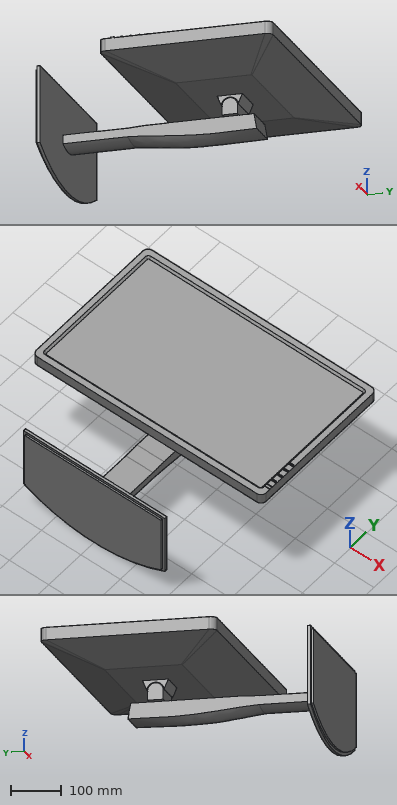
import cadquery as cq
import math


DISPLAY_WIDTH = 584.0
DISPLAY_HEIGHT = 357.0
DISPLAY_TOP_Y = 526.0
RIM_DEPTH = 25.5
DISPLAY_CORNER_RADIUS = 13.0
BACK_DEPTH = 24.5
BACK_WIDTH = 269.0
BACK_HEIGHT = 158.0
BACK_CENTER_Y = 355.0
BACK_CORNER_RADIUS = 2.0

BEZEL_SIDE = 13.5
BEZEL_END = 14.0
SCREEN_DEPTH = 4.5
SCREEN_WALL_ANGLE = 45.0
SCREEN_CORNER_RADIUS = 7.5

BUTTON_HEIGHT = 2.0
BUTTON_PITCH = 18.0
POWER_BUTTON_Y = 197.0
POWER_BUTTON_LENGTH = 7.0
KEY_COUNT = 4
KEY_LENGTH = 3.5
KEY_PAD_WIDTH = 4.0
KEY_PAD_SPACING = 6.0

JOINT_Y = 356.0
JOINT_WIDTH = 69.0
BRACKET_TOP_LENGTH = 52.5
BRACKET_TIP_LENGTH = 34.5
BRACKET_DEPTH = 20.5
SOCKET_CLEARANCE = 1.0
SOCKET_ROOF = 4.5
PIVOT_LENGTH = 31.5
PIVOT_DOME_RADIUS = 16.5
PIVOT_BOTTOM_Z = -90.5

ARM_WIDTH = 69.0
ARM_TOP_Z = -94.5
ARM_LOW_TOP_Z = -96.5
ARM_BEND_Y = 179.5
ARM_NECK_Y = 145.0
ARM_END_TOP_Y = 406.0
ARM_END_BOTTOM_Y = 412.0
ARM_CLEAR_Z = -146.0
ARM_SHOULDER_SECTIONS = [
    (ARM_END_BOTTOM_Y, -126.0, -127.0),
    (327.0, -127.5, -135.0),
    (269.0, -125.0, -135.5),
    (210.5, -120.0, -131.0),
    (ARM_NECK_Y, -114.5, -121.0),
]

BASE_WIDTH = 360.0
BASE_BOTTOM_Z = -207.0
BASE_CORNER_Z = -160.5
BASE_PLATE_THICKNESS = 6.5
FOOT_THICKNESS = 4.0
FOOT_INSET = 6.5
BASE_TOP_Y = FOOT_THICKNESS + BASE_PLATE_THICKNESS
ARM_NECK_SECTIONS = [
    ARM_SHOULDER_SECTIONS[-1],
    (BASE_TOP_Y, -114.5, -122.0),
]

DISPLAY_CENTER_Y = DISPLAY_TOP_Y - DISPLAY_HEIGHT / 2
BACK_Z = -(RIM_DEPTH + BACK_DEPTH)
DOME_CENTER_Z = BACK_Z - SOCKET_ROOF - SOCKET_CLEARANCE - PIVOT_DOME_RADIUS


def rounded_rectangle(width, height, radius):
    return cq.Sketch().rect(width, height).vertices().fillet(radius)


def display_plane(z):
    """Workplane parallel to XY, centered on the display."""
    return cq.Workplane("XY", origin=(0, DISPLAY_CENTER_Y, z))


def extrude_across(side_profile, width):
    """Extrude a YZ outline symmetrically about X = 0."""
    return side_profile.extrude(width / 2, both=True)


def make_housing():
    """Flat rim with a back that tapers to a smaller rectangle."""
    rim_outline = rounded_rectangle(DISPLAY_WIDTH, DISPLAY_HEIGHT, DISPLAY_CORNER_RADIUS)
    rim = display_plane(0).placeSketch(rim_outline).extrude(-RIM_DEPTH)
    back_outline = rounded_rectangle(BACK_WIDTH, BACK_HEIGHT, BACK_CORNER_RADIUS)
    back_shift = cq.Location(cq.Vector(0, BACK_CENTER_Y - DISPLAY_CENTER_Y, -BACK_DEPTH))
    back = (
        display_plane(-RIM_DEPTH)
        .placeSketch(rim_outline, back_outline.moved(back_shift))
        .loft(ruled=True)
    )
    return rim.union(back)


def make_screen_recess():
    """Shallow pocket whose walls slope inward to the screen."""
    opening = rounded_rectangle(
        DISPLAY_WIDTH - 2 * BEZEL_SIDE,
        DISPLAY_HEIGHT - 2 * BEZEL_END,
        SCREEN_CORNER_RADIUS,
    )
    return display_plane(0).placeSketch(opening).extrude(-SCREEN_DEPTH, taper=SCREEN_WALL_ANGLE)


def make_buttons():
    """A power button across the bezel and a row of keys, each a pair of small pads."""
    bezel_center_x = (DISPLAY_WIDTH - BEZEL_SIDE) / 2
    buttons = cq.Workplane("XY").center(bezel_center_x, POWER_BUTTON_Y)
    buttons = buttons.rect(BEZEL_SIDE, POWER_BUTTON_LENGTH).extrude(BUTTON_HEIGHT)
    for key in range(1, KEY_COUNT + 1):
        key_y = POWER_BUTTON_Y + key * BUTTON_PITCH
        pads = (
            cq.Workplane("XY", origin=(bezel_center_x, key_y, 0))
            .rarray(KEY_PAD_SPACING, 6, 2, 1)
            .rect(KEY_PAD_WIDTH, KEY_LENGTH)
            .extrude(BUTTON_HEIGHT)
        )
        buttons = buttons.union(pads)
    return buttons


def make_bracket():
    """Wedge under the back of the display, hollowed by the round socket of the tilt joint."""
    tip_z = BACK_Z - BRACKET_DEPTH
    wedge = cq.Workplane("YZ").polyline([
        (JOINT_Y - BRACKET_TOP_LENGTH / 2, BACK_Z),
        (JOINT_Y + BRACKET_TOP_LENGTH / 2, BACK_Z),
        (JOINT_Y + BRACKET_TIP_LENGTH / 2, tip_z),
        (JOINT_Y - BRACKET_TIP_LENGTH / 2, tip_z),
    ]).close()
    socket = cq.Workplane("YZ", origin=(0, JOINT_Y, DOME_CENTER_Z)).circle(
        PIVOT_DOME_RADIUS + SOCKET_CLEARANCE
    )
    return extrude_across(wedge, JOINT_WIDTH).cut(extrude_across(socket, JOINT_WIDTH))


def make_display():
    housing = make_housing().cut(make_screen_recess())
    return housing.union(make_buttons()).union(make_bracket())


def make_pivot():
    """Block with a domed top that sits in the bracket's socket."""
    half_length = PIVOT_LENGTH / 2
    shoulder_z = DOME_CENTER_Z + math.sqrt(PIVOT_DOME_RADIUS**2 - half_length**2)
    side_outline = (
        cq.Workplane("YZ", origin=(0, JOINT_Y, 0))
        .moveTo(-half_length, PIVOT_BOTTOM_Z)
        .lineTo(-half_length, shoulder_z)
        .threePointArc((0, DOME_CENTER_Z + PIVOT_DOME_RADIUS), (half_length, shoulder_z))
        .lineTo(half_length, PIVOT_BOTTOM_Z)
        .close()
    )
    return extrude_across(side_outline, JOINT_WIDTH)


def arm_section(y, edge_z, crown_z):
    """Arm cross-section at y: flat top and sides with an arched underside."""
    half_width = ARM_WIDTH / 2
    plane = cq.Plane(origin=(0, y, 0), xDir=(1, 0, 0), normal=(0, -1, 0))
    section = (
        cq.Workplane(plane)
        .moveTo(-half_width, ARM_TOP_Z)
        .lineTo(-half_width, edge_z)
        .threePointArc((0, crown_z), (half_width, edge_z))
        .lineTo(half_width, ARM_TOP_Z)
        .close()
    )
    return section.val()


def loft_arm(sections, ruled):
    wires = [arm_section(*section) for section in sections]
    return cq.Workplane(cq.Solid.makeLoft(wires, ruled))


def make_arm():
    """Crowned arm, trimmed to its slanted end and its slightly lowered neck."""
    arm = loft_arm(ARM_SHOULDER_SECTIONS, False).union(loft_arm(ARM_NECK_SECTIONS, True))
    side_outline = cq.Workplane("YZ").polyline([
        (BASE_TOP_Y, ARM_LOW_TOP_Z),
        (ARM_NECK_Y, ARM_LOW_TOP_Z),
        (ARM_BEND_Y, ARM_TOP_Z),
        (ARM_END_TOP_Y, ARM_TOP_Z),
        (ARM_END_BOTTOM_Y, ARM_SHOULDER_SECTIONS[0][2]),
        (ARM_END_BOTTOM_Y, ARM_CLEAR_Z),
        (BASE_TOP_Y, ARM_CLEAR_Z),
    ]).close()
    return arm.intersect(extrude_across(side_outline, ARM_WIDTH))


def base_outline(y):
    """Base outline at y: straight top and sides, bowed bottom edge."""
    half_width = BASE_WIDTH / 2
    plane = cq.Plane(origin=(0, y, 0), xDir=(1, 0, 0), normal=(0, -1, 0))
    return (
        cq.Workplane(plane)
        .moveTo(-half_width, 0)
        .lineTo(-half_width, BASE_CORNER_Z)
        .threePointArc((0, BASE_BOTTOM_Z), (half_width, BASE_CORNER_Z))
        .lineTo(half_width, 0)
        .close()
    )


def make_stand():
    plate = base_outline(BASE_TOP_Y).extrude(BASE_PLATE_THICKNESS)
    foot = base_outline(FOOT_THICKNESS).offset2D(-FOOT_INSET).extrude(FOOT_THICKNESS)
    return plate.union(foot).union(make_arm())


display = make_display()
pivot = make_pivot()
stand = make_stand()

result = cq.Compound.makeCompound([body.solids().val() for body in (display, pivot, stand)])